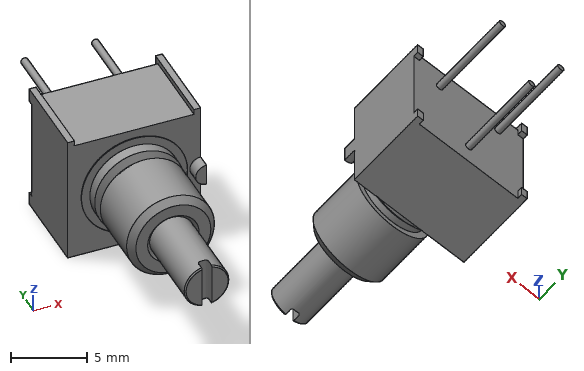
import cadquery as cq

body_width = 9.53
body_height = 9.53
body_depth = 5.97
rail_width = 0.49
recess_depth = 0.4
foot_length = 0.4
top_foot_height = 1.02
bottom_foot_height = 0.95

axis_z = -0.07
disc_diameter = 7.6
disc_thickness = 0.07
collar_diameter = 6.4
collar_end = 0.88
neck_diameter = 5.25
neck_start = 1.17
neck_end = 1.65
bushing_diameter = 6.29
bushing_end = 6.48
bushing_chamfer = 0.46
countersink_diameter = 3.68

shaft_diameter = 3.2
shaft_end = 12.06
shaft_chamfer = 0.1
slot_width = 0.7
slot_depth = 0.73
slot_fillet = 0.17

peg_radius = 0.78
peg_length = 0.97
pin_diameter = 0.54
pin_pitch = 2.53
pin_length = 24.37 - shaft_end - body_depth
pin_middle_z = -0.32


def make_housing():
    """Block with a recessed top and four corner feet on the rear face."""
    housing = cq.Workplane("XY").box(body_width, body_depth, body_height).translate((0, body_depth / 2, 0))
    recess = (
        cq.Workplane("XY", origin=(0, body_depth / 2, body_height / 2 - recess_depth))
        .box(body_width - 2 * rail_width, body_depth, recess_depth, centered=(True, True, False))
    )
    housing = housing.cut(recess)
    foot_x = (body_width - rail_width) / 2
    foot_y = body_depth + foot_length / 2
    for side in (-1, 1):
        for level, height in ((1, top_foot_height), (-1, bottom_foot_height)):
            foot_z = level * (body_height - height) / 2
            foot = cq.Workplane("XY").box(rail_width, foot_length, height)
            housing = housing.union(foot.translate((side * foot_x, foot_y, foot_z)))
    return housing


def make_turned_parts():
    """Disc, collar, neck, bushing and shaft revolved about the shaft axis."""
    disc_radius = disc_diameter / 2
    collar_radius = collar_diameter / 2
    neck_radius = neck_diameter / 2
    bushing_radius = bushing_diameter / 2
    countersink_radius = countersink_diameter / 2
    shaft_radius = shaft_diameter / 2
    countersink_depth = countersink_radius - shaft_radius
    profile = [
        (0, 0),
        (disc_radius, 0),
        (disc_radius, -disc_thickness),
        (collar_radius, -disc_thickness),
        (collar_radius, -collar_end),
        (neck_radius, -neck_start),
        (neck_radius, -neck_end),
        (bushing_radius, -neck_end),
        (bushing_radius, -bushing_end + bushing_chamfer),
        (bushing_radius - bushing_chamfer, -bushing_end),
        (countersink_radius, -bushing_end),
        (shaft_radius, -bushing_end + countersink_depth),
        (shaft_radius, -shaft_end + shaft_chamfer),
        (shaft_radius - shaft_chamfer, -shaft_end),
        (0, -shaft_end),
    ]
    turned = cq.Workplane("XY").polyline(profile).close().revolve(360, (0, 0), (0, 1))
    return turned.translate((0, 0, axis_z))


def make_slot():
    """Screwdriver slot across the shaft tip, with a rounded floor."""
    return (
        cq.Workplane("XY")
        .box(slot_width, slot_depth, shaft_diameter)
        .edges("|Z and >Y")
        .fillet(slot_fillet)
        .translate((0, -shaft_end + slot_depth / 2, axis_z))
    )


def make_peg():
    """Half-round locating peg, flush with the +X side of the housing."""
    edge_x = body_width / 2
    return (
        cq.Workplane("XZ")
        .moveTo(edge_x, axis_z + peg_radius)
        .threePointArc((edge_x - peg_radius, axis_z), (edge_x, axis_z - peg_radius))
        .close()
        .extrude(peg_length)
    )


def make_pins():
    """Two outer pins in the upper row and the middle pin in the lower row."""
    upper_z = pin_middle_z + pin_pitch
    lower_z = pin_middle_z - pin_pitch
    centres = [(-pin_pitch, upper_z), (0, lower_z), (pin_pitch, upper_z)]
    return (
        cq.Workplane("XZ", origin=(0, body_depth, 0))
        .pushPoints(centres)
        .circle(pin_diameter / 2)
        .extrude(-pin_length)
    )


result = make_housing().union(make_turned_parts()).union(make_peg()).union(make_pins()).cut(make_slot())